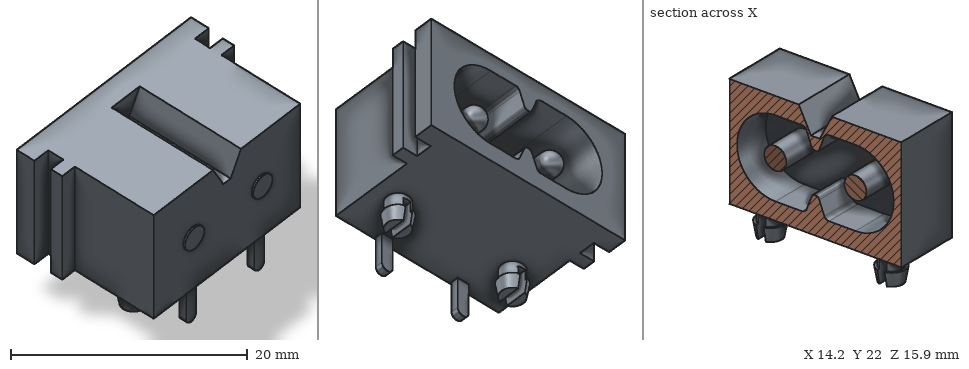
import cadquery as cq
import math


flange_width = 22.0
flange_thickness = 2.02
body_width = 18.5
body_depth = 14.0
body_height = 12.0
rib_width = 21.7
rib_start = 3.75
rib_thickness = 1.3
bottom_z = -body_height / 2
top_z = body_height / 2

pin_spacing = 8.6
pin_radius = 1.2
pin_tip_x = 0.88
pin_rear_overhang = 0.2
pin_end_x = body_depth + pin_rear_overhang

socket_depth = 11.0
lobe_radius = 4.1
notch_depth = 1.98
notch_mouth_half_width = 1.1
notch_tip_half_width = 0.33
notch_mouth_fillet = 0.5
notch_tip_fillet = 0.4

groove_start = 2.49
groove_depth = 2.53
groove_mouth_half_width = 1.75
groove_floor_half_width = 0.46

peg_x = 9.22
peg_spacing = 13.0
peg_radius = 1.2
peg_length = 3.0
peg_head_radius = 1.47
peg_head_start = 1.52
peg_slot_width = 0.8
peg_slot_start = 0.48

terminal_x = 13.0
terminal_thickness = 0.8
terminal_width = 1.25
terminal_drop = 3.92


def mirrored(spacing):
    """The two Y positions of a pair placed symmetrically about Y = 0."""
    return (-spacing / 2, spacing / 2)


def slab(start_x, length, width):
    """Block of full housing height, centred on Y and Z."""
    return cq.Workplane("YZ", origin=(start_x, 0, 0)).rect(width, body_height).extrude(length)


def socket_void():
    """Socket cavity: a two-lobed slot with a tapered notch above and below its centre."""
    lobe_y = pin_spacing / 2
    notch_tip_z = lobe_radius - notch_depth
    cavity = (
        cq.Workplane("YZ")
        .moveTo(-lobe_y, lobe_radius)
        .lineTo(-notch_mouth_half_width, lobe_radius)
        .lineTo(-notch_tip_half_width, notch_tip_z)
        .lineTo(notch_tip_half_width, notch_tip_z)
        .lineTo(notch_mouth_half_width, lobe_radius)
        .lineTo(lobe_y, lobe_radius)
        .threePointArc((lobe_y + lobe_radius, 0), (lobe_y, -lobe_radius))
        .lineTo(notch_mouth_half_width, -lobe_radius)
        .lineTo(notch_tip_half_width, -notch_tip_z)
        .lineTo(-notch_tip_half_width, -notch_tip_z)
        .lineTo(-notch_mouth_half_width, -lobe_radius)
        .lineTo(-lobe_y, -lobe_radius)
        .threePointArc((-lobe_y - lobe_radius, 0), (-lobe_y, lobe_radius))
        .close()
        .extrude(socket_depth)
    )
    reach_y = (notch_mouth_half_width + lobe_y) / 2
    mid_z = lobe_radius - notch_depth / 2
    upper_mouth = cq.selectors.BoxSelector((0, -reach_y, mid_z), (socket_depth, reach_y, top_z))
    lower_mouth = cq.selectors.BoxSelector((0, -reach_y, bottom_z), (socket_depth, reach_y, -mid_z))
    notch_tips = cq.selectors.BoxSelector((0, -reach_y, -mid_z), (socket_depth, reach_y, mid_z))
    lengthwise = cq.selectors.ParallelDirSelector(cq.Vector(1, 0, 0))
    cavity = cavity.edges(lengthwise & (upper_mouth + lower_mouth)).fillet(notch_mouth_fillet)
    return cavity.edges(lengthwise & notch_tips).fillet(notch_tip_fillet)


def groove_void():
    """Trapezoidal groove along X in the top face."""
    floor_z = top_z - groove_depth
    return (
        cq.Workplane("YZ", origin=(groove_start, 0, 0))
        .polyline([
            (-groove_mouth_half_width, top_z),
            (-groove_floor_half_width, floor_z),
            (groove_floor_half_width, floor_z),
            (groove_mouth_half_width, top_z),
        ])
        .close()
        .extrude(body_depth - groove_start)
    )


def make_peg(y):
    """Snap peg: a round shank with a tapered barb, split along X."""
    peg = (
        cq.Workplane("XZ")
        .polyline([
            (0, 0),
            (peg_radius, 0),
            (peg_radius, -peg_head_start),
            (peg_head_radius, -peg_head_start),
            (peg_radius, -peg_length),
            (0, -peg_length),
        ])
        .close()
        .revolve(360, (0, 0, 0), (0, 1, 0))
    )
    slot = cq.Workplane("XY").box(
        2 * peg_head_radius, peg_slot_width, peg_length - peg_slot_start, centered=(True, True, False)
    )
    peg = peg.cut(slot.translate((0, 0, -peg_length)))
    return peg.translate((peg_x, y, bottom_z))


def make_pin(y):
    """Round contact pin with a hemispherical tip, standing just proud of the rear face."""
    dome_base_x = pin_tip_x + pin_radius
    dome_mid = pin_radius * math.sqrt(0.5)
    return (
        cq.Workplane("XY")
        .moveTo(pin_tip_x, 0)
        .threePointArc((dome_base_x - dome_mid, dome_mid), (dome_base_x, pin_radius))
        .lineTo(pin_end_x, pin_radius)
        .lineTo(pin_end_x, 0)
        .close()
        .revolve(360, (0, 0, 0), (1, 0, 0))
        .translate((0, y, 0))
    )


def make_terminal(y):
    """Flat blade with a round lower end, its upper end seated against the underside of the pin."""
    half_width = terminal_width / 2
    tip_z = bottom_z - terminal_drop
    blade = (
        cq.Workplane("YZ", origin=(terminal_x, 0, 0))
        .moveTo(-half_width, 0)
        .lineTo(-half_width, tip_z + half_width)
        .threePointArc((0, tip_z), (half_width, tip_z + half_width))
        .lineTo(half_width, 0)
        .close()
        .extrude(terminal_thickness)
        .translate((0, y, 0))
    )
    return blade.cut(make_pin(y))


def make_housing(inserts):
    """Flanged block with socket, groove, side ribs and pegs, fitted around the inserted contacts."""
    housing = slab(0, body_depth, body_width)
    housing = housing.union(slab(0, flange_thickness, flange_width))
    housing = housing.union(slab(rib_start, rib_thickness, rib_width))
    housing = housing.cut(socket_void()).cut(groove_void())
    for y in mirrored(peg_spacing):
        housing = housing.union(make_peg(y))
    for insert in inserts:
        housing = housing.cut(insert)
    return housing


pins = [make_pin(y) for y in mirrored(pin_spacing)]
terminals = [make_terminal(y) for y in mirrored(pin_spacing)]
housing = make_housing(pins + terminals)

result = cq.Compound.makeCompound([
    housing.solids().val(),
    *[pin.solids().val() for pin in pins],
    *[terminal.solids().val() for terminal in terminals],
])